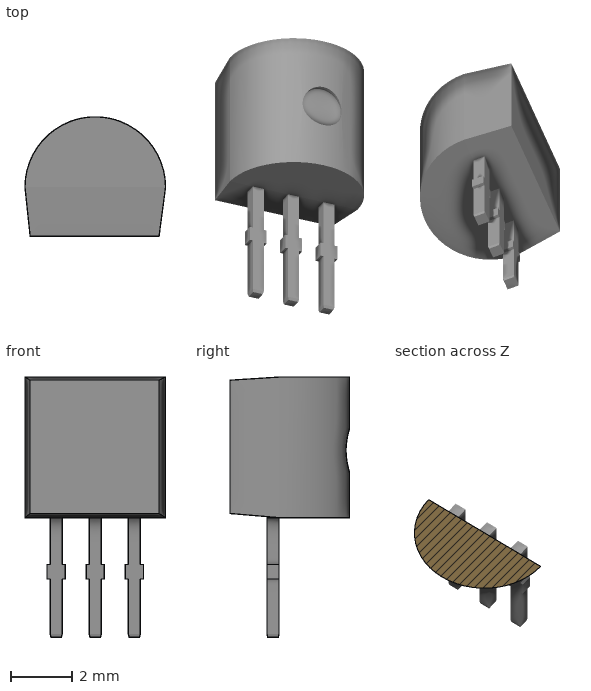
import cadquery as cq

TOTAL_HEIGHT = 8.5
BODY_WIDTH = 4.6
BODY_RADIUS = BODY_WIDTH / 2
BODY_HEIGHT = BODY_WIDTH
BODY_BOTTOM = TOTAL_HEIGHT - BODY_HEIGHT
BODY_MIDDLE = BODY_BOTTOM + BODY_HEIGHT / 2
FRONT_DEPTH = 1.61
LEFT_TAPER = 0.17
RIGHT_TAPER = 0.21
TOP_TAPER = 0.1
BOTTOM_TAPER = 0.14

MARK_DIAMETER = 1.4
MARK_DEPTH = 0.17
MARK_DROP = 0.1

LEAD_COUNT = 3
LEAD_PITCH = 1.275
LEAD_SIZE = 0.4
COLLAR_WIDTH = 0.6
COLLAR_HEIGHT = 0.485
COLLAR_DROP = 1.52
TIP_HEIGHT = 0.1
TIP_INSET = 0.025


def make_housing():
    back = (
        cq.Workplane("XY", origin=(0, 0, BODY_BOTTOM))
        .moveTo(-BODY_RADIUS, 0)
        .threePointArc((0, BODY_RADIUS), (BODY_RADIUS, 0))
        .close()
        .extrude(BODY_HEIGHT)
    )
    front = (
        cq.Workplane("XZ", origin=(0, 0, BODY_MIDDLE))
        .rect(BODY_WIDTH, BODY_HEIGHT)
        .workplane(offset=FRONT_DEPTH)
        .center((LEFT_TAPER - RIGHT_TAPER) / 2, (BOTTOM_TAPER - TOP_TAPER) / 2)
        .rect(BODY_WIDTH - LEFT_TAPER - RIGHT_TAPER, BODY_HEIGHT - TOP_TAPER - BOTTOM_TAPER)
        .loft(ruled=True)
    )
    mark = (
        cq.Workplane("XZ", origin=(0, BODY_RADIUS, BODY_MIDDLE - MARK_DROP))
        .circle(MARK_DIAMETER / 2)
        .extrude(MARK_DEPTH)
    )
    return back.union(front).cut(mark)


def make_lead(x):
    """One square lead with a side collar and a tapered tip."""
    centre_y = -LEAD_SIZE / 2
    shank = (
        cq.Workplane("XY", origin=(x, centre_y, TIP_HEIGHT))
        .rect(LEAD_SIZE, LEAD_SIZE)
        .extrude(BODY_BOTTOM - TIP_HEIGHT)
    )
    collar = (
        cq.Workplane("XY", origin=(x, centre_y, BODY_BOTTOM - COLLAR_DROP - COLLAR_HEIGHT))
        .rect(COLLAR_WIDTH, LEAD_SIZE)
        .extrude(COLLAR_HEIGHT)
    )
    tip_size = LEAD_SIZE - 2 * TIP_INSET
    tip = (
        cq.Workplane("XY", origin=(x, centre_y, 0))
        .rect(tip_size, tip_size)
        .workplane(offset=TIP_HEIGHT)
        .rect(LEAD_SIZE, LEAD_SIZE)
        .loft(ruled=True)
    )
    return shank.union(collar).union(tip)


housing = make_housing()
leads = []
for index in range(LEAD_COUNT):
    lead_x = (index - (LEAD_COUNT - 1) / 2) * LEAD_PITCH
    leads.append(make_lead(lead_x).val())

result = cq.Compound.makeCompound([housing.val(), *leads])